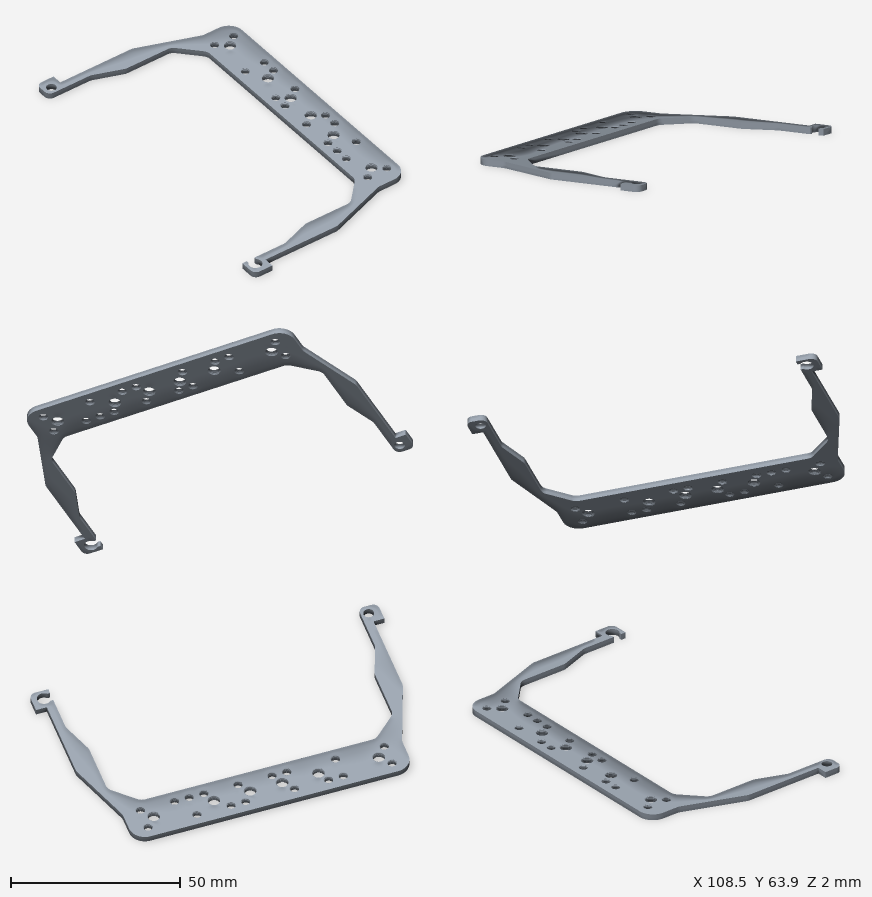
import cadquery as cq
import math

overall_width = 108.5
overall_depth = 63.9
thickness = 2.0

plate_width = 87.0
plate_depth = 14.1
plate_side_end = 10.6
plate_corner_radius = 4.9

arm_outer_x = 50.9
arm_inner_x = 48.2
arm_knee_x = 44.5
outer_knee_depth = 31.1
gusset_x = 36.6
gusset_depth = 21.6
inner_knee_depth = 38.1
inner_tip_depth = 48.3
arm_bend_radius = 3.0

tab_top_depth = 57.4
left_tab_depth = 63.7
tab_corner_radius = 2.0
tab_hole_x = 50.6
tab_hole_depth = 60.9
pivot_hole_diameter = 3.1
hook_diameter = 4.1
hook_mouth_width = 2.8

small_thread_diameter = 3.0
large_thread_diameter = 4.0
thread_pitch = 0.5
thread_depth = 0.42 * thread_pitch
groove_root_width = 0.13 * thread_pitch
flank_angle = 30.0

hole_row_offset = 3.5
column_pitch = 15.2
extra_hole_offset = 4.6
large_hole_distances = (5.0, 16.3, 35.0)


def make_half(side, tip_depth):
    """Half of the flat bracket; side is -1 for the left arm and 1 for the right arm."""
    outline = [
        (0, 0),
        (plate_width / 2, 0),
        (plate_width / 2, plate_side_end),
        (arm_outer_x, outer_knee_depth),
        (arm_outer_x, tab_top_depth),
        (overall_width / 2, tab_top_depth),
        (overall_width / 2, tip_depth),
        (arm_inner_x, tip_depth),
        (arm_inner_x, inner_tip_depth),
        (arm_knee_x, inner_knee_depth),
        (arm_knee_x, gusset_depth),
        (gusset_x, plate_depth),
        (0, plate_depth),
    ]
    points = [(side * x, -depth) for x, depth in outline]
    return cq.Workplane("XY").polyline(points).close().extrude(thickness)


def round_corner(body, x, depth, radius):
    """Round the upright edge nearest to the given outline corner."""
    corner = cq.selectors.NearestToPointSelector((x, -depth, thickness / 2))
    return body.edges("|Z").edges(corner).fillet(radius)


def make_arm_frame():
    arm_bends = (
        (plate_width / 2, plate_side_end),
        (arm_outer_x, outer_knee_depth),
        (arm_inner_x, inner_tip_depth),
        (arm_knee_x, inner_knee_depth),
        (arm_knee_x, gusset_depth),
        (gusset_x, plate_depth),
    )
    left = make_half(-1, left_tab_depth)
    left = round_corner(left, -arm_inner_x, left_tab_depth, tab_corner_radius)
    left = round_corner(left, -overall_width / 2, left_tab_depth, tab_corner_radius)
    right = make_half(1, overall_depth)
    right = round_corner(right, overall_width / 2, overall_depth, tab_corner_radius)
    frame = left.union(right).clean()
    for side in (-1, 1):
        frame = round_corner(frame, side * plate_width / 2, 0, plate_corner_radius)
        for x, depth in arm_bends:
            frame = round_corner(frame, side * x, depth, arm_bend_radius)
    return frame


def make_pin(x, depth, diameter):
    """Round cutter through the full thickness."""
    return cq.Workplane("XY").center(x, -depth).circle(diameter / 2).extrude(thickness)


def make_tap(thread_diameter):
    """Cutter for one threaded hole: the bore plus a helical groove that leaves through both faces."""
    root_radius = thread_diameter / 2
    bore_radius = root_radius - thread_depth
    root_half = groove_root_width / 2

    inner_radius = bore_radius - thread_depth / 10
    inner_half = root_half + (root_radius - inner_radius) * math.tan(math.radians(flank_angle))
    profile = [
        (inner_radius, -inner_half),
        (root_radius, -root_half),
        (root_radius, root_half),
        (inner_radius, inner_half),
    ]
    helix = cq.Wire.makeHelix(thread_pitch, thickness + 2 * thread_pitch, bore_radius)
    groove = cq.Workplane("XZ").polyline(profile).close().sweep(cq.Workplane(helix), isFrenet=True)

    part_turn = (thickness / thread_pitch) % 1 * 360
    groove = groove.translate((0, 0, -thread_pitch)).rotate((0, 0, 0), (0, 0, 1), -part_turn)
    bore = cq.Workplane("XY").circle(bore_radius).extrude(thickness)
    plate_layer = cq.Workplane("XY").circle(thread_diameter).extrude(thickness)
    return bore.union(groove.intersect(plate_layer)).val()


def place_taps(thread_diameter, centers):
    """Equal thread cutters at the given centers."""
    tap = make_tap(thread_diameter)
    return [tap.translate(cq.Vector(x, y, 0)) for x, y in centers]


def make_plate_taps():
    middle = -plate_depth / 2
    back_row = middle + hole_row_offset
    front_row = middle - hole_row_offset
    inner, center, outer = [column_pitch * step for step in (0.5, 1.5, 2.5)]
    columns = (-outer, -center, -inner, inner, center, outer)
    small = [(x, y) for x in columns for y in (back_row, front_row)]

    small += [(x + extra_hole_offset, back_row) for x in (-center, inner)]
    small += [(x + extra_hole_offset, front_row) for x in (-inner, center)]
    small.append((center - extra_hole_offset, front_row))

    large = [(side * x, middle) for x in large_hole_distances for side in (-1, 1)]
    taps = place_taps(small_thread_diameter, small) + place_taps(large_thread_diameter, large)
    return cq.Workplane(cq.Compound.makeCompound(taps))


def make_hook_opening():
    """Round seat on the right tab, with a mouth open toward the middle."""
    mouth_length = 2 * (tab_hole_x - arm_inner_x)
    seat = make_pin(tab_hole_x, tab_hole_depth, hook_diameter)
    mouth = (
        cq.Workplane("XY")
        .center(arm_inner_x, -tab_hole_depth)
        .rect(mouth_length, hook_mouth_width)
        .extrude(thickness)
    )
    return seat.union(mouth)


bracket = (
    make_arm_frame()
    .cut(make_plate_taps())
    .cut(make_pin(-tab_hole_x, tab_hole_depth, pivot_hole_diameter))
    .cut(make_hook_opening())
)
result = cq.Workplane(bracket.solids().val())